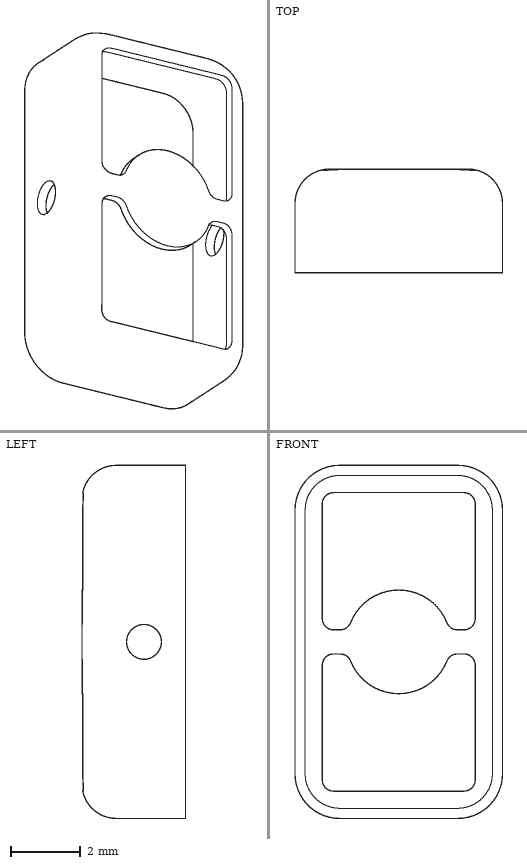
import cadquery as cq

width = 6.0
depth = 3.0
height = 10.2
wall = 0.3
corner_radius = 1.3
rim_radius = 1.0

window_margin = 0.8
window_width = width - 2 * window_margin
window_height = height - 2 * window_margin
window_corner_radius = 0.32
web_height = 0.7
disc_diameter = 3.0

pin_diameter = 1.0
pin_from_front = 1.2


def rounded_block(size_x, size_y, size_z, side_radius, back_radius):
    """Block with its front face on Y = 0 and rounded sides and back rim."""
    block = cq.Workplane("XY").box(size_x, size_y, size_z, centered=(True, False, True))
    return block.edges("|Y").fillet(side_radius).faces(">Y").edges().fillet(back_radius)


def window_cutter():
    """The two openings left around the disc and its web."""
    opening = cq.Workplane("XY").box(window_width, depth, window_height)
    web = cq.Workplane("XY").box(window_width, depth, web_height)
    disc = cq.Workplane("XZ").circle(disc_diameter / 2).extrude(depth / 2, both=True)
    cutter = opening.cut(web).cut(disc)
    cutter = cutter.edges("|Y").fillet(window_corner_radius)
    return cutter.translate((0, depth, 0))


outer = rounded_block(width, depth, height, corner_radius, rim_radius)
cavity = rounded_block(
    width - 2 * wall,
    depth - wall,
    height - 2 * wall,
    corner_radius - wall,
    rim_radius - wall,
)
pin_holes = (
    cq.Workplane("YZ")
    .center(pin_from_front, 0)
    .circle(pin_diameter / 2)
    .extrude(width, both=True)
)

result = outer.cut(cavity).cut(window_cutter()).cut(pin_holes)